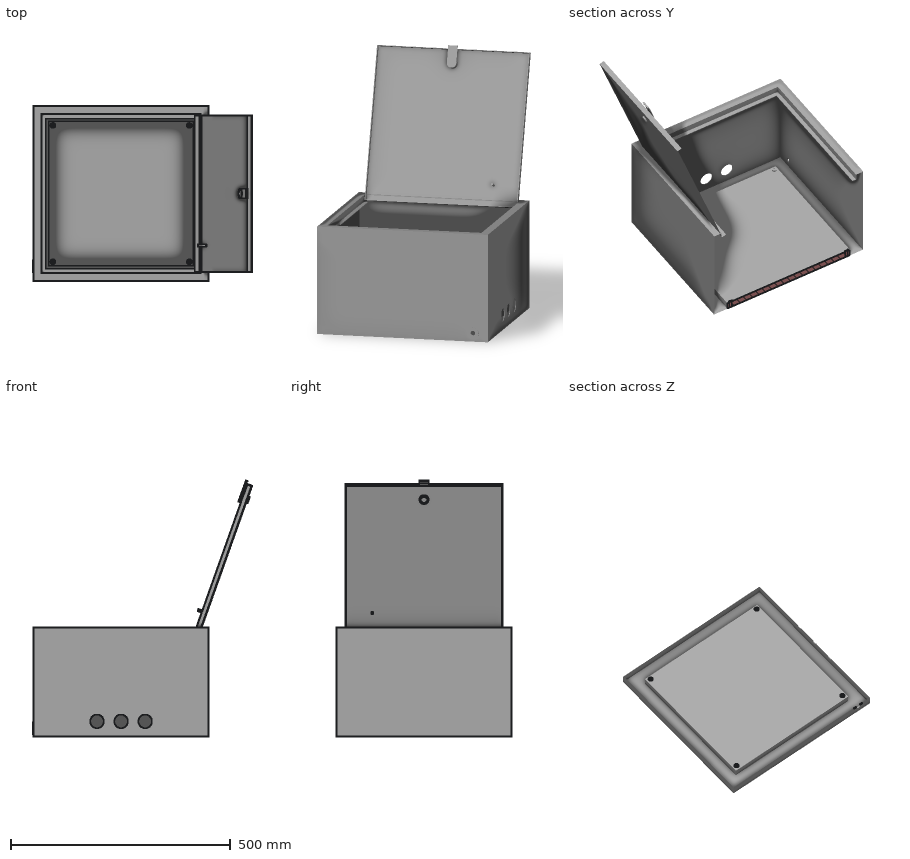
import cadquery as cq
import math

BOX_SIDE = 400.0
BOX_HEIGHT = 250.0
SHEET = 1.5
OPENING_SIDE = 361.0
LEDGE_DEPTH = 15.0
LEDGE_WIDTH = 9.5
HINGE_ROOM = 13.0

ENTRY_DIAMETER = 31.0
ENTRY_PITCH = 55.0
ENTRY_COUNT = 3
ENTRY_HEIGHT = 35.0

DRAIN_DIAMETER = 10.5
BOSS_DIAMETER = 27.5
BOSS_HEIGHT = 1.0
DRAIN_Y = -165.0
DRAIN_HEIGHT = 20.0

PLATE_SIDE = 329.0
PLATE_HEIGHT = 17.0
SCREW_INSET = 9.5
SHANK_DIAMETER = 6.0
HEAD_DIAMETER = 11.0
HEAD_HEIGHT = 4.0
SOCKET_DIAMETER = 3.5
SOCKET_DEPTH = 2.5

LID_SIDE = 358.0
LID_DEPTH = 11.5
LID_TILT = 19.6
LID_FOOT_X = 178.5
LID_FOOT_Z = 234.5

STUD_DIAMETER = 5.0
STUD_LENGTH = 20.0
STUD_Y = -118.0
STUD_REACH = 49.5

LATCH_REACH = 324.0
CAM_WIDTH = 22.0
CAM_THICKNESS = 2.0
CAM_TOP = 17.5
CAM_REACH = 364.0
CAM_LIP = 2.5
CAM_LIP_THICKNESS = 1.0
BARREL_DIAMETER = 21.0
BARREL_PROUD = 0.1
KNOB_DIAMETER = 16.0
KNOB_HEIGHT = 3.5

tilt = math.radians(LID_TILT)
LID_PLANE = cq.Plane(
    origin=(LID_FOOT_X, 0, LID_FOOT_Z),
    xDir=(math.sin(tilt), 0, math.cos(tilt)),
    normal=(-math.cos(tilt), 0, math.sin(tilt)),
)


def square_block(side, bottom, top):
    """Upright square block centred on the Z axis."""
    return cq.Workplane("XY").workplane(offset=bottom).rect(side, side).extrude(top - bottom)


def lid_cylinder(reach, y, bottom, top, diameter):
    """Cylinder square to the lid, between two heights above its outer face."""
    return (
        cq.Workplane(LID_PLANE)
        .workplane(offset=bottom)
        .center(reach, y)
        .circle(diameter / 2)
        .extrude(top - bottom)
    )


def make_housing():
    ledge_top = BOX_HEIGHT - LEDGE_DEPTH
    ledge_bottom = ledge_top - SHEET
    sleeve_side = OPENING_SIDE + 2 * SHEET

    body = square_block(BOX_SIDE, 0, BOX_HEIGHT)
    body = body.cut(square_block(BOX_SIDE - 2 * SHEET, SHEET, BOX_HEIGHT - SHEET))
    body = body.union(square_block(sleeve_side, ledge_bottom, BOX_HEIGHT))
    body = body.cut(square_block(OPENING_SIDE, ledge_top, BOX_HEIGHT))
    body = body.cut(square_block(OPENING_SIDE - 2 * LEDGE_WIDTH, ledge_bottom, ledge_top))

    room_start = OPENING_SIDE / 2 - HINGE_ROOM
    room_end = OPENING_SIDE / 2 + SHEET
    hinge_room = (
        cq.Workplane("XY", origin=((room_start + room_end) / 2, 0, ledge_bottom))
        .rect(room_end - room_start, OPENING_SIDE)
        .extrude(LEDGE_DEPTH)
    )
    body = body.cut(hinge_room)

    front_wall = cq.Workplane("XZ", origin=(0, -BOX_SIDE / 2, ENTRY_HEIGHT))
    entries = front_wall.rarray(ENTRY_PITCH, 6, ENTRY_COUNT, 1).circle(ENTRY_DIAMETER / 2).extrude(-SHEET)

    side_wall = cq.Workplane("YZ", origin=(-BOX_SIDE / 2, DRAIN_Y, DRAIN_HEIGHT))
    boss = side_wall.circle(BOSS_DIAMETER / 2).extrude(-BOSS_HEIGHT)
    drain = side_wall.workplane(offset=-BOSS_HEIGHT).circle(DRAIN_DIAMETER / 2).extrude(BOSS_HEIGHT + SHEET)
    return body.cut(entries).union(boss).cut(drain)


def screw_places():
    offset = PLATE_SIDE / 2 - SCREW_INSET
    return [(x, y) for x in (-offset, offset) for y in (-offset, offset)]


def make_plate():
    block = square_block(PLATE_SIDE, SHEET, SHEET + PLATE_HEIGHT)
    return block.faces(">Z").workplane().pushPoints(screw_places()).hole(SHANK_DIAMETER)


def make_screw(x, y):
    plate_top = SHEET + PLATE_HEIGHT
    shank = cq.Workplane("XY", origin=(x, y, SHEET)).circle(SHANK_DIAMETER / 2).extrude(PLATE_HEIGHT)
    head = cq.Workplane("XY", origin=(x, y, plate_top)).circle(HEAD_DIAMETER / 2).extrude(HEAD_HEIGHT)
    head = head.faces(">Z").workplane().hole(SOCKET_DIAMETER, SOCKET_DEPTH)
    return shank.union(head)


def make_lid(housing):
    middle = LID_SIDE / 2
    frame = cq.Workplane(LID_PLANE).center(middle, 0)
    pan = frame.rect(LID_SIDE, LID_SIDE).extrude(LID_DEPTH)
    inner_side = LID_SIDE - 2 * SHEET
    pan = pan.cut(frame.workplane(offset=SHEET).rect(inner_side, inner_side).extrude(LID_DEPTH))
    stud = lid_cylinder(STUD_REACH, STUD_Y, 0, SHEET + STUD_LENGTH, STUD_DIAMETER)
    latch_hole = lid_cylinder(LATCH_REACH, 0, 0, SHEET, BARREL_DIAMETER)
    return pan.union(stud).cut(latch_hole).cut(housing)


def make_latch():
    cam_bottom = CAM_TOP - CAM_THICKNESS
    half_width = CAM_WIDTH / 2
    cam = (
        cq.Workplane(LID_PLANE)
        .workplane(offset=cam_bottom)
        .moveTo(LATCH_REACH, half_width)
        .lineTo(CAM_REACH, half_width)
        .lineTo(CAM_REACH, -half_width)
        .lineTo(LATCH_REACH, -half_width)
        .threePointArc((LATCH_REACH - half_width, 0), (LATCH_REACH, half_width))
        .close()
        .extrude(CAM_THICKNESS)
    )
    lip = (
        cq.Workplane(LID_PLANE)
        .workplane(offset=cam_bottom - CAM_LIP)
        .center(CAM_REACH - CAM_LIP_THICKNESS / 2, 0)
        .rect(CAM_LIP_THICKNESS, CAM_WIDTH)
        .extrude(CAM_LIP + CAM_THICKNESS)
    )
    barrel = lid_cylinder(LATCH_REACH, 0, 0, CAM_TOP + BARREL_PROUD, BARREL_DIAMETER)
    knob = lid_cylinder(LATCH_REACH, 0, -KNOB_HEIGHT, 0, KNOB_DIAMETER)
    return barrel.union(cam).union(lip).union(knob)


housing = make_housing()
plate = make_plate()
screws = [make_screw(x, y) for x, y in screw_places()]
lid = make_lid(housing)
latch = make_latch()

bodies = [housing, plate, lid, latch, *screws]
result = cq.Compound.makeCompound([body.solids().val() for body in bodies])